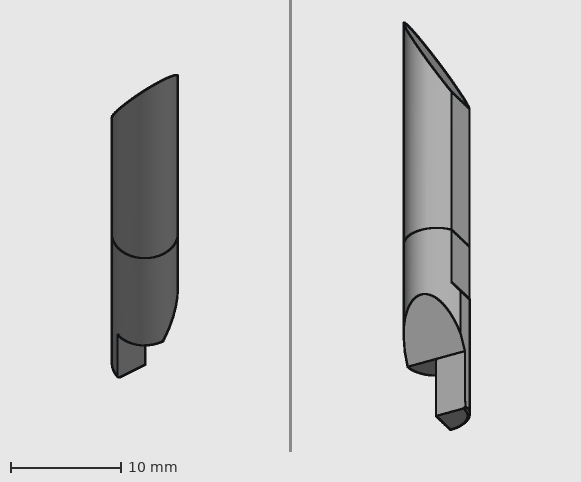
import cadquery as cq
import math

length = 42.0
diameter = 6.0
radius = diameter / 2
joint_height = 18.0
end_slope = math.tan(math.radians(60))

flat_depth = 0.55
relief_depth = 0.11
tip_depth = 0.055
flat_bottom = 12.47
relief_top = 11.95
relief_bottom = 1.0
tip_top = 0.5

neck_length = 6.0
neck_face_x = 0.1
rim_chamfer = 0.2

flat_x = -radius + flat_depth
relief_x = -radius + relief_depth
tip_x = -radius + tip_depth


def side_profile():
    """Outline in XZ: slanted top end, stepped -X side, quarter neck below."""
    flat_top = length - end_slope * (radius - flat_x)
    points = [
        (tip_x, 0),
        (neck_face_x, 0),
        (neck_face_x, neck_length),
        (radius, neck_length),
        (radius, length),
        (flat_x, flat_top),
        (flat_x, flat_bottom),
        (relief_x, relief_top),
        (relief_x, relief_bottom),
        (tip_x, tip_top),
    ]
    return cq.Workplane("XZ").polyline(points).close().extrude(radius, both=True)


def neck_clearance():
    """Wedge that removes the +Y half beside the neck and slopes out above it."""
    slope_top = neck_length + end_slope * radius
    points = [
        (0, 0),
        (0, neck_length),
        (radius, slope_top),
        (radius, 0),
    ]
    return cq.Workplane("YZ").polyline(points).close().extrude(radius, both=True)


def round_bar(bottom, top):
    return cq.Workplane("XY").workplane(offset=bottom).circle(radius).extrude(top - bottom)


def make_shank():
    return round_bar(joint_height, length).intersect(side_profile())


def make_head():
    bar = round_bar(0, joint_height).faces("<Z").chamfer(rim_chamfer)
    return bar.intersect(side_profile()).cut(neck_clearance())


shank = make_shank()
head = make_head()

result = cq.Compound.makeCompound([shank.val(), head.val()])